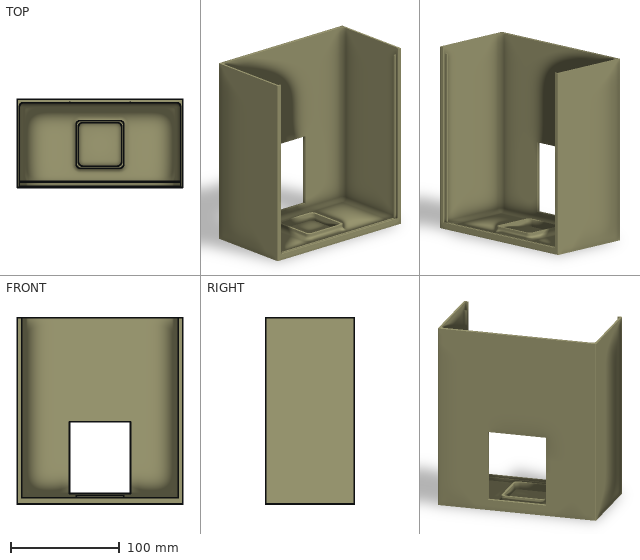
import cadquery as cq

WIDTH = 152.6
DEPTH = 81.8
HEIGHT = 172.0
OUTER_CORNER_RADIUS = 0.8

SIDE_WALL = 2.0
BACK_WALL = 3.2
FLOOR = 2.0
CAVITY_FILLET = 4.0

LIP_THICKNESS = 1.2
SLOT_WIDTH = 3.8
SIDE_LIP_PROJECTION = 2.2
FRONT_LIP_HEIGHT = 4.0
REAR_LIP_HEIGHT = 3.0
REAR_LIP_TOP_GAP = 7.3

WINDOW_WIDTH = 56.0
WINDOW_HEIGHT = 66.0
WINDOW_SILL = 10.0

SOCKET_OPENING = 40.0
SOCKET_WALL = 2.0
SOCKET_TOP = 8.0
SOCKET_BOTTOM = 1.0
SOCKET_CORNER_RADIUS = 4.0
SOCKET_BASE_FILLET = 4.0
SOCKET_CENTRE_Y = 40.0

SELECTION_MARGIN = 0.1

inner_width = WIDTH - 2 * SIDE_WALL
slot_rear = LIP_THICKNESS + SLOT_WIDTH
back_inner = DEPTH - BACK_WALL
socket_size = SOCKET_OPENING + 2 * SOCKET_WALL


def block(width, y_front, y_rear, z_bottom, z_top):
    """Box centred on X, spanning the given Y and Z limits."""
    return (
        cq.Workplane("XY")
        .box(width, y_rear - y_front, z_top - z_bottom, centered=(True, False, False))
        .translate((0, y_front, z_bottom))
    )


def make_shell():
    """Outer box with a cavity open at the front and at the top."""
    outer = block(WIDTH, 0, DEPTH, 0, HEIGHT).edges("|Z").fillet(OUTER_CORNER_RADIUS)
    overshoot = 2 * CAVITY_FILLET
    cavity = block(inner_width, -overshoot, back_inner, FLOOR, HEIGHT + overshoot)
    rounded_edges = "(>Y and |Z) or (>Y and <Z) or (<Z and |Y)"
    return outer.cut(cavity.edges(rounded_edges).fillet(CAVITY_FILLET))


def make_lip(y_front, height, z_top):
    """U-shaped lip lining the two sides and the floor."""
    opening_width = inner_width - 2 * SIDE_LIP_PROJECTION
    y_rear = y_front + LIP_THICKNESS
    frame = block(WIDTH - SIDE_WALL, y_front, y_rear, FLOOR / 2, z_top)
    opening = block(opening_width, y_front, y_rear, FLOOR + height, z_top)
    return frame.cut(opening)


def cut_slot(body):
    """Square off the floor corners of the slot, clearing the cavity fillet there."""
    return body.cut(block(inner_width, LIP_THICKNESS, slot_rear, FLOOR, HEIGHT))


def rounded_square(size, z_bottom, z_top):
    """Upright square prism at the socket position, with rounded vertical edges."""
    y_front = SOCKET_CENTRE_Y - size / 2
    prism = block(size, y_front, y_front + size, z_bottom, z_top)
    return prism.edges("|Z").fillet(SOCKET_CORNER_RADIUS)


def add_socket(body):
    """Square boss that flares into the floor, with a pocket sunk into it."""
    reach = socket_size / 2 + SELECTION_MARGIN
    around_base = cq.selectors.BoxSelector(
        (-reach, SOCKET_CENTRE_Y - reach, FLOOR - SELECTION_MARGIN),
        (reach, SOCKET_CENTRE_Y + reach, FLOOR + SELECTION_MARGIN),
        boundingbox=True,
    )
    boss = rounded_square(socket_size, FLOOR, SOCKET_TOP)
    body = body.union(boss).edges(around_base).fillet(SOCKET_BASE_FILLET)
    return body.cut(rounded_square(SOCKET_OPENING, SOCKET_BOTTOM, SOCKET_TOP))


def cut_window(body):
    """Window through the back wall."""
    window_top = WINDOW_SILL + WINDOW_HEIGHT
    return body.cut(block(WINDOW_WIDTH, back_inner - CAVITY_FILLET, DEPTH, WINDOW_SILL, window_top))


result = add_socket(make_shell())
result = cut_slot(result)
result = result.union(make_lip(0, FRONT_LIP_HEIGHT, HEIGHT))
result = result.union(make_lip(slot_rear, REAR_LIP_HEIGHT, HEIGHT - REAR_LIP_TOP_GAP))
result = cut_window(result)